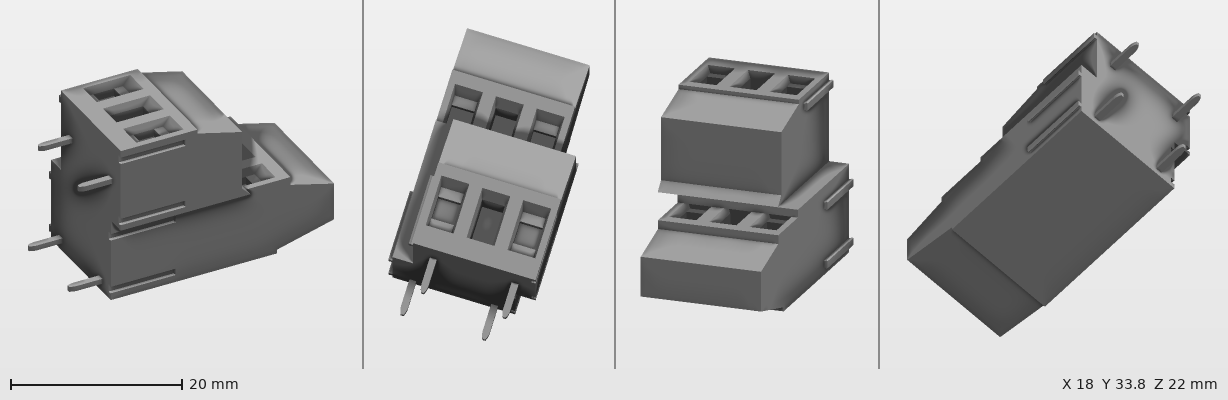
import cadquery as cq
import math


PITCH = 5.0
POLES = 3
BLOCK_WIDTH = POLES * PITCH
LEVEL_SHIFT = PITCH / 2
TOTAL_HEIGHT = 22.0
LEVEL_HEIGHT = TOTAL_HEIGHT / 2
TOTAL_DEPTH = 33.8
PIN_LENGTH = 4.3
LOWER_DEPTH = TOTAL_DEPTH - PIN_LENGTH

BOTTOM_EDGE_Y = 21.95
BOTTOM_LIP = 0.5
END_FACE_BOTTOM = 2.5
END_FACE_TOP = 7.45
LOWER_RIDGE_Y = 23.73
LOWER_RIDGE_FOOT = 8.95
LEDGE_Z = 10.05

UPPER_BASE_DEPTH = 17.15
UPPER_DEPTH = 16.02
STEP_BEVEL = UPPER_BASE_DEPTH - UPPER_DEPTH
UPPER_END_TOP = 19.95
UPPER_RIDGE_Y = 10.15
UPPER_RIDGE_FOOT = 21.45

POCKET_WIDTH = 3.4
POCKET_LENGTH = 6.22
THROAT_WIDTH = 2.77
FUNNEL_SETBACK = 1.1
FUNNEL_DEPTH = 1.0
THROAT_LENGTH = POCKET_LENGTH - FUNNEL_SETBACK
CLAMP_SLOT_LENGTH = 2.75
CLAMP_SHELF = (THROAT_LENGTH - CLAMP_SLOT_LENGTH) / 2
CLAMP_SLOT_DEPTH = 1.0
OPEN_POCKET_DEPTH = 5.0
UPPER_POCKET_Y = 2.5
LOWER_POCKET_Y = 15.95

RAIL_LENGTH = 8.6
RAIL_DEPTH = 0.5
RAIL_HEAD = 0.17
RAIL_NECK = 0.25
RAIL_FACE_HALF = 0.45
RAIL_HEAD_HALF = 0.55
RAIL_NECK_HALF = 0.4
GROOVE_CLEARANCE = 0.05
LOW_RAIL_Z = 1.4
MIDDLE_RAIL_Z = 8.7
UPPER_GROOVE_Z = 12.2
TOP_RAIL_Z = TOTAL_HEIGHT - 1.35

PIN_WIDTH = 0.85
PIN_THICKNESS = 0.68
PIN_TIP_LENGTH = 0.98
PIN_TIP_RADIUS = 2.0
PIN_PITCH = 2 * PITCH
LOWER_PIN_Z = 1.45
UPPER_PIN_Z = 16.7


def block(profile, start_x):
    """Extrude a YZ profile along X over the width of one level."""
    return cq.Workplane("YZ", origin=(start_x, 0, 0)).polyline(profile).close().extrude(BLOCK_WIDTH)


def funnel(center_x, start_y, top_z):
    """Tapered pocket mouth; the wall at start_y stays vertical."""
    throat_center_shift = (THROAT_LENGTH - POCKET_LENGTH) / 2
    return (
        cq.Workplane("XY", origin=(center_x, start_y + POCKET_LENGTH / 2, top_z))
        .rect(POCKET_WIDTH, POCKET_LENGTH)
        .workplane(offset=-FUNNEL_DEPTH)
        .center(0, throat_center_shift)
        .rect(THROAT_WIDTH, THROAT_LENGTH)
        .loft(combine=True)
    )


def well(center_x, start_y, length, top_z, depth):
    """Straight-walled shaft going down from top_z."""
    return (
        cq.Workplane("XY", origin=(center_x, start_y + length / 2, top_z))
        .rect(THROAT_WIDTH, length)
        .extrude(-depth)
    )


def wire_pockets(start_x, start_y, top_z):
    """Row of pockets: a shallow clamp slot in the outer poles, a deep well between them."""
    pockets = cq.Workplane("XY")
    throat_z = top_z - FUNNEL_DEPTH
    slot_y = start_y + CLAMP_SHELF
    for pole in range(POLES):
        center_x = start_x + (pole + 0.5) * PITCH
        pockets = pockets.add(funnel(center_x, start_y, top_z))
        if pole in (0, POLES - 1):
            shaft = well(center_x, slot_y, CLAMP_SLOT_LENGTH, throat_z, CLAMP_SLOT_DEPTH)
        else:
            shaft = well(center_x, start_y, THROAT_LENGTH, throat_z, OPEN_POCKET_DEPTH - FUNNEL_DEPTH)
        pockets = pockets.add(shaft)
    return pockets.combine()


def dovetail(face_x, center_z, clearance=0.0):
    """Rail standing out of a side face towards -X."""
    neck = RAIL_NECK_HALF + clearance
    face = RAIL_FACE_HALF + clearance
    head = RAIL_HEAD_HALF + clearance
    neck_x = -RAIL_NECK
    head_x = RAIL_HEAD - RAIL_DEPTH
    outline = [
        (0, -neck),
        (neck_x, -neck),
        (head_x, -head),
        (-RAIL_DEPTH, -face),
        (-RAIL_DEPTH, face),
        (head_x, head),
        (neck_x, neck),
        (0, neck),
    ]
    return (
        cq.Workplane("XZ", origin=(face_x, 0, center_z))
        .polyline(outline)
        .close()
        .extrude(-RAIL_LENGTH)
    )


def pin(center_x, center_z):
    """Flat pin towards -Y with a rounded taper at its tip."""
    half = PIN_WIDTH / 2
    shank_y = PIN_TIP_LENGTH - PIN_LENGTH

    def narrowing(distance):
        return PIN_TIP_RADIUS - math.sqrt(PIN_TIP_RADIUS**2 - distance**2)

    middle_half = half - narrowing(PIN_TIP_LENGTH / 2)
    middle_y = shank_y - PIN_TIP_LENGTH / 2
    tip_half = half - narrowing(PIN_TIP_LENGTH)
    return (
        cq.Workplane("XY", origin=(center_x, 0, center_z - PIN_THICKNESS / 2))
        .moveTo(-half, 0)
        .lineTo(-half, shank_y)
        .threePointArc((-middle_half, middle_y), (-tip_half, -PIN_LENGTH))
        .lineTo(tip_half, -PIN_LENGTH)
        .threePointArc((middle_half, middle_y), (half, shank_y))
        .lineTo(half, 0)
        .close()
        .extrude(PIN_THICKNESS)
    )


lower_profile = [
    (0, 0),
    (BOTTOM_EDGE_Y, 0),
    (BOTTOM_EDGE_Y, BOTTOM_LIP),
    (LOWER_DEPTH, END_FACE_BOTTOM),
    (LOWER_DEPTH, END_FACE_TOP),
    (LOWER_RIDGE_Y, LOWER_RIDGE_FOOT),
    (LOWER_RIDGE_Y, LEDGE_Z),
    (UPPER_BASE_DEPTH, LEDGE_Z),
    (UPPER_BASE_DEPTH, LEVEL_HEIGHT),
    (0, LEVEL_HEIGHT),
]
upper_profile = [
    (0, LEVEL_HEIGHT),
    (UPPER_BASE_DEPTH, LEVEL_HEIGHT),
    (UPPER_DEPTH, LEVEL_HEIGHT + STEP_BEVEL),
    (UPPER_DEPTH, UPPER_END_TOP),
    (UPPER_RIDGE_Y, UPPER_RIDGE_FOOT),
    (UPPER_RIDGE_Y, TOTAL_HEIGHT),
    (0, TOTAL_HEIGHT),
]

result = block(lower_profile, 0).union(block(upper_profile, LEVEL_SHIFT))

result = result.cut(wire_pockets(0, LOWER_POCKET_Y, LEDGE_Z))
result = result.cut(wire_pockets(LEVEL_SHIFT, UPPER_POCKET_Y, TOTAL_HEIGHT))

for face_x, rail_z in [(0, LOW_RAIL_Z), (0, MIDDLE_RAIL_Z), (LEVEL_SHIFT, TOP_RAIL_Z)]:
    result = result.union(dovetail(face_x, rail_z))

LOWER_SIDE_X = BLOCK_WIDTH
UPPER_SIDE_X = LEVEL_SHIFT + BLOCK_WIDTH
for face_x, groove_z in [
    (LOWER_SIDE_X, LOW_RAIL_Z),
    (LOWER_SIDE_X, MIDDLE_RAIL_Z),
    (UPPER_SIDE_X, UPPER_GROOVE_Z),
    (UPPER_SIDE_X, TOP_RAIL_Z),
]:
    result = result.cut(dovetail(face_x, groove_z, GROOVE_CLEARANCE))

for start_x, pin_z in [(0, LOWER_PIN_Z), (LEVEL_SHIFT, UPPER_PIN_Z)]:
    first_pin_x = start_x + PITCH / 2
    for pin_x in (first_pin_x, first_pin_x + PIN_PITCH):
        result = result.union(pin(pin_x, pin_z))